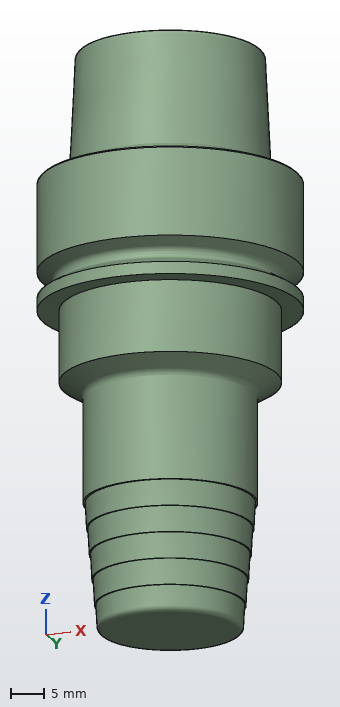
import cadquery as cq
import math


shank_top_z = 19.9
shank_taper_ratio = 1 / 10
shank_base_z = 1.8
shank_base_radius = 15.15
shank_edge_fillet = 0.8

neck_radius = 15.0
neck_top_z = 1.1
recess_radius = 16.05
recess_depth = 0.2
recess_floor_radius = 15.4
neck_root_z = 0.3

flange_radius = 20.0
flange_length = 20.0
flange_edge_chamfer = 0.25
groove_center_z = -16.05
groove_mouth_width = 4.1
groove_floor_radius = 17.6
groove_root_fillet = 0.8

cone_angle = 30.0
cone_slope = math.tan(math.radians(cone_angle))

collar_radius = 16.7
collar_end_z = -31.2
sleeve_radius = 13.1
sleeve_end_z = -50.0
sleeve_root_fillet = 1.0

ring_count = 5
ring_length = 4.0
ring_step = 0.19
ring_taper_angle = 3.0
ring_taper_drop = ring_length * math.tan(math.radians(ring_taper_angle))
first_ring_radius = 12.78
nose_end_z = sleeve_end_z - ring_count * ring_length
nose_edge_fillet = 0.8


def revolve_profile(points):
    """Solid of revolution about Z from (radius, z) points that start and end on the axis."""
    return cq.Workplane("XZ").polyline(points).close().revolve(360, (0, 0, 0), (0, 1, 0))


def circle_edge(solid, radius, z):
    """The circular edge at height z, which fits inside the given radius."""
    margin = 0.01
    reach = radius + margin
    box = cq.selectors.BoxSelector(
        (-reach, -reach, z - margin), (reach, reach, z + margin), boundingbox=True
    )
    return solid.edges(box)


def make_shank():
    top_radius = shank_base_radius - (shank_top_z - shank_base_z) * shank_taper_ratio / 2
    shank = revolve_profile([
        (0, -recess_depth),
        (recess_floor_radius, -recess_depth),
        (neck_radius, neck_root_z),
        (neck_radius, neck_top_z),
        (shank_base_radius, shank_base_z),
        (top_radius, shank_top_z),
        (0, shank_top_z),
    ])
    return shank.faces(">Z").edges().fillet(shank_edge_fillet)


def make_flange():
    groove_top_z = groove_center_z + groove_mouth_width / 2
    groove_bottom_z = groove_center_z - groove_mouth_width / 2
    groove_wall_height = (flange_radius - groove_floor_radius) * cone_slope
    floor_top_z = groove_top_z - groove_wall_height
    floor_bottom_z = groove_bottom_z + groove_wall_height
    flange = revolve_profile([
        (0, -flange_length),
        (flange_radius, -flange_length),
        (flange_radius, groove_bottom_z),
        (groove_floor_radius, floor_bottom_z),
        (groove_floor_radius, floor_top_z),
        (flange_radius, groove_top_z),
        (flange_radius, -flange_edge_chamfer),
        (flange_radius - flange_edge_chamfer, 0),
        (recess_radius, 0),
        (recess_floor_radius, -recess_depth),
        (0, -recess_depth),
    ])
    for floor_edge_z in (floor_top_z, floor_bottom_z):
        flange = circle_edge(flange, groove_floor_radius, floor_edge_z).fillet(groove_root_fillet)
    return flange


def make_collar_and_sleeve():
    cone_end_z = collar_end_z - (collar_radius - sleeve_radius) * cone_slope
    body = revolve_profile([
        (0, sleeve_end_z),
        (sleeve_radius, sleeve_end_z),
        (sleeve_radius, cone_end_z),
        (collar_radius, collar_end_z),
        (collar_radius, -flange_length),
        (0, -flange_length),
    ])
    return circle_edge(body, sleeve_radius, cone_end_z).fillet(sleeve_root_fillet)


def make_nose():
    points = [(0, sleeve_end_z)]
    for index in range(ring_count):
        ring_top_radius = first_ring_radius - index * (ring_taper_drop + ring_step)
        ring_top_z = sleeve_end_z - index * ring_length
        points.append((ring_top_radius, ring_top_z))
        points.append((ring_top_radius - ring_taper_drop, ring_top_z - ring_length))
    points.append((0, nose_end_z))
    return revolve_profile(points).faces("<Z").edges().fillet(nose_edge_fillet)


result = make_flange().union(make_shank()).union(make_collar_and_sleeve()).union(make_nose())